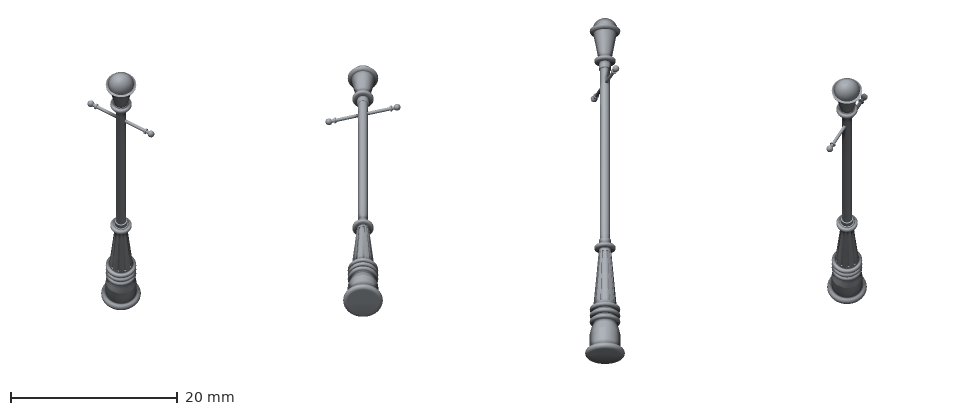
import cadquery as cq
import math

total_height = 45.3

pole_radius = 1.2 / 2
collar_radius = 1.5 / 2
shoulder_radius = 1.75 / 2
band_radius = 2.6 / 2
ring_radius = 3.65 / 2
bead_half_height = 0.25

foot_radius = 4.75 / 2
foot_half_height = 0.4
drum_top = 3.0
waist_radius = 2.85 / 2
waist_bow = 0.055

ring_count = 3
ring_pitch = 0.8
first_ring_height = 4.6
ring_neck_radius = 1.4

cone_top = 14.15
flute_count = 10
flute_width = 0.23
flute_depth = 0.15
flute_bottom = 6.9
flute_top = 13.9

lower_bead_height = 14.55
lower_collar_top = 15.58
post_top = 38.25

upper_collar_bottom = 38.5
upper_collar_top = 39.1
collar_chamfer = 0.1
upper_neck_radius = 1.4 / 2
upper_bead_height = 39.65
cup_bottom_radius = 1.65 / 2
cup_top_radius = 1.4
globe_radius = 1.55

bar_height = 36.65
bar_length = 9.3
bar_radius = 0.205
ball_radius = 0.4
bar_ring_radius = 0.34
bar_ring_width = 0.2
bar_ring_offset = 3.5

band_root_radius = band_radius - bead_half_height
ring_root_radius = ring_radius - bead_half_height
waist_hollow = ring_root_radius - waist_radius
first_ring_underside = first_ring_height - bead_half_height
waist_top = first_ring_underside - waist_hollow
last_ring_height = first_ring_height + (ring_count - 1) * ring_pitch
cone_bottom = last_ring_height + bead_half_height + (ring_root_radius - ring_neck_radius)
rim_top = total_height - globe_radius
diagonal = math.sqrt(0.5)


def cone_radius_at(height):
    fraction = (height - cone_bottom) / (cone_top - cone_bottom)
    return ring_neck_radius + fraction * (collar_radius - ring_neck_radius)


def add_bead(outline, outer_radius, middle, half_height, neck_radius):
    """Add a half-round bead, then a hollow round in to the neck above it.

    The outline must have reached the underside of the bead, where its round edge starts.
    """
    root = outer_radius - half_height
    hollow = root - neck_radius
    top = middle + half_height
    return (
        outline.threePointArc((outer_radius, middle), (root, top))
        .threePointArc(
            (root - hollow * diagonal, top + hollow * (1 - diagonal)),
            (neck_radius, top + hollow),
        )
    )


def revolve_outline(outline):
    return outline.close().revolve(360, (0, 0, 0), (0, 1, 0))


def make_flutes():
    """Straight grooves of even depth that follow the slope of the cone."""
    bottom_radius = cone_radius_at(flute_bottom)
    top_radius = cone_radius_at(flute_top)
    flute = (
        cq.Workplane("XZ")
        .moveTo(bottom_radius - flute_depth, flute_bottom)
        .lineTo(bottom_radius + flute_depth, flute_bottom)
        .lineTo(top_radius + flute_depth, flute_top)
        .lineTo(top_radius - flute_depth, flute_top)
        .close()
        .extrude(flute_width / 2, both=True)
    )
    return [
        flute.rotate((0, 0, 0), (0, 0, 1), index * 360 / flute_count)
        for index in range(flute_count)
    ]


def make_post():
    outline = cq.Workplane("XZ").moveTo(0, 0).lineTo(foot_radius - foot_half_height, 0)
    outline = add_bead(outline, foot_radius, foot_half_height, foot_half_height, ring_radius)
    outline = (
        outline.lineTo(ring_radius, drum_top)
        .sagittaArc((waist_radius, waist_top), -waist_bow)
        .threePointArc(
            (
                ring_root_radius - waist_hollow * diagonal,
                first_ring_underside - waist_hollow * (1 - diagonal),
            ),
            (ring_root_radius, first_ring_underside),
        )
    )

    for index in range(ring_count):
        ring_height = first_ring_height + index * ring_pitch
        if index > 0:
            underside = ring_height - bead_half_height
            outline = outline.lineTo(ring_neck_radius, underside).lineTo(ring_root_radius, underside)
        outline = add_bead(outline, ring_radius, ring_height, bead_half_height, ring_neck_radius)

    band_underside = lower_bead_height - bead_half_height
    outline = (
        outline.lineTo(collar_radius, cone_top)
        .lineTo(collar_radius, band_underside)
        .lineTo(band_root_radius, band_underside)
    )
    outline = add_bead(outline, band_radius, lower_bead_height, bead_half_height, shoulder_radius)

    shoulder_top = lower_bead_height + band_radius - shoulder_radius
    outline = (
        outline.lineTo(collar_radius, shoulder_top)
        .lineTo(collar_radius, lower_collar_top)
        .lineTo(pole_radius, lower_collar_top)
        .lineTo(pole_radius, post_top)
        .lineTo(0, post_top)
    )
    post = revolve_outline(outline)
    for flute in make_flutes():
        post = post.cut(flute)
    return post


def make_lantern():
    band_underside = upper_bead_height - bead_half_height
    outline = (
        cq.Workplane("XZ")
        .moveTo(0, post_top)
        .lineTo(pole_radius, post_top)
        .lineTo(pole_radius, upper_collar_bottom)
        .lineTo(collar_radius - collar_chamfer, upper_collar_bottom)
        .lineTo(collar_radius, upper_collar_bottom + collar_chamfer)
        .lineTo(collar_radius, upper_collar_top)
        .lineTo(upper_neck_radius, upper_collar_top)
        .lineTo(upper_neck_radius, band_underside)
        .lineTo(band_root_radius, band_underside)
    )
    outline = add_bead(outline, band_radius, upper_bead_height, bead_half_height, shoulder_radius)

    shoulder_top = upper_bead_height + band_radius - shoulder_radius
    rim_round = ring_radius - cup_top_radius
    outline = (
        outline.lineTo(cup_bottom_radius, shoulder_top)
        .lineTo(cup_top_radius, rim_top - rim_round)
        .threePointArc(
            (cup_top_radius + rim_round * diagonal, rim_top - rim_round * diagonal),
            (ring_radius, rim_top),
        )
        .lineTo(globe_radius, rim_top)
        .threePointArc(
            (globe_radius * diagonal, rim_top + globe_radius * diagonal),
            (0, total_height),
        )
    )
    return revolve_outline(outline)


def make_crossbar():
    ball_offset = bar_length / 2 - ball_radius
    bar = cq.Workplane("YZ").circle(bar_radius).extrude(ball_offset, both=True)
    for side in (-1, 1):
        ball = cq.Workplane("XY").sphere(ball_radius).translate((side * ball_offset, 0, 0))
        ring = (
            cq.Workplane("YZ")
            .circle(bar_ring_radius)
            .extrude(bar_ring_width / 2, both=True)
            .translate((side * bar_ring_offset, 0, 0))
        )
        bar = bar.union(ball).union(ring)
    return bar.translate((0, 0, bar_height))


crossbar = make_crossbar()
post = make_post().cut(crossbar)
lantern = make_lantern()

result = cq.Compound.makeCompound([post.val(), lantern.val(), crossbar.val()])